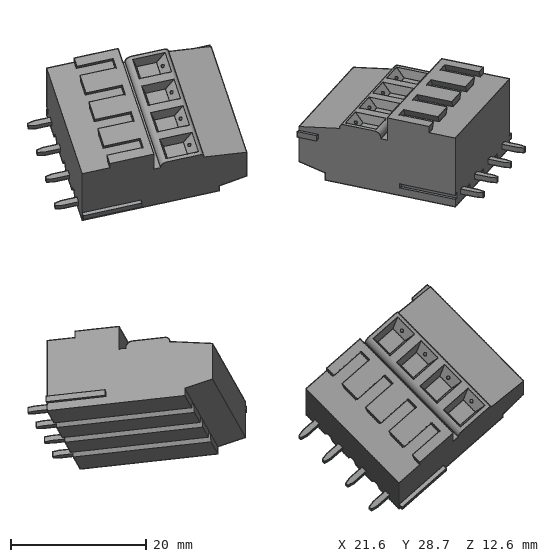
import cadquery as cq


poles = 4
pitch = 5.08
pole_centers = [(i - (poles - 1) / 2) * pitch for i in range(poles)]
seam_centers = [x + pitch / 2 for x in pole_centers[:-1]]

overall_width = 21.55
overall_length = 28.7
key_depth = 0.7
body_width = overall_width - 2 * key_depth
pin_length = 3.5
body_length = overall_length - pin_length
body_height = 12.6
half_width = body_width / 2

front_deck_height = 11.57
tower_front_y = 4.22
tower_back_y = 10.95
gap_floor_z = 8.87
ridge_top_z = 9.95
ridge_front_y = 12.0
ridge_back_y = 18.65
ridge_front_radius = 1.0
ridge_back_radius = 0.7
ramp_top_z = 9.18
ramp_bottom_z = 8.1
tail_bottom_z = 2.2
base_length = 20.98
base_step_height = 1.2

tower_slot_mouth = 1.72
tower_slot_floor = 2.53
tower_slot_back_y = 9.75

well_mouth_width = 3.67
well_floor_z = 8.72
well_floor_width = 2.58
well_front_y = ridge_front_y + ridge_front_radius
well_back_y = ridge_back_y - ridge_back_radius
well_floor_front_y = 13.45
well_floor_back_y = 16.5
dome_radius = 0.25
dome_drop = 0.1
dome_pitch = 5.02
dome_centers = [pole_centers[0] + i * dome_pitch for i in range(poles)]

notch_mouth = 1.6
notch_roof = 0.63

key_wide = 0.92
key_narrow = 0.65
lower_key_z = 1.6
lower_key_length = 8.98
upper_key_z = 7.12
upper_key_length = 3.13

pin_width = 0.92
pin_thickness = 0.83
pin_tip_width = 0.45
pin_taper_length = 1.03
pin_center_z = 1.6


def prism_along_y(points, y_start, y_end):
    """Extrude an (x, z) outline from y_start to y_end."""
    plane = cq.Workplane("XZ", origin=(0, y_start, 0))
    return plane.polyline(points).close().extrude(y_start - y_end)


def trapezoid(center_x, bottom_z, bottom_width, top_z, top_width):
    """Symmetric (x, z) trapezoid with level bottom and top edges."""
    return [
        (center_x - bottom_width / 2, bottom_z),
        (center_x + bottom_width / 2, bottom_z),
        (center_x + top_width / 2, top_z),
        (center_x - top_width / 2, top_z),
    ]


def dovetail(narrow_x, wide_x, center_z, y_start, y_end):
    """Dovetail bar along Y, flaring from narrow_x to wide_x."""
    outline = [
        (narrow_x, center_z - key_narrow / 2),
        (wide_x, center_z - key_wide / 2),
        (wide_x, center_z + key_wide / 2),
        (narrow_x, center_z + key_narrow / 2),
    ]
    return prism_along_y(outline, y_start, y_end)


def housing():
    """Side profile extruded across the full body width."""
    return (
        cq.Workplane("YZ", origin=(-half_width, 0, 0))
        .moveTo(0, 0)
        .lineTo(0, front_deck_height)
        .lineTo(tower_front_y, front_deck_height)
        .lineTo(tower_front_y, body_height)
        .lineTo(tower_back_y, body_height)
        .lineTo(tower_back_y, gap_floor_z)
        .lineTo(ridge_front_y, gap_floor_z)
        .lineTo(ridge_front_y, ridge_top_z - ridge_front_radius)
        .radiusArc((well_front_y, ridge_top_z), ridge_front_radius)
        .lineTo(well_back_y, ridge_top_z)
        .radiusArc((ridge_back_y, ridge_top_z - ridge_back_radius), ridge_back_radius)
        .lineTo(ridge_back_y, ramp_top_z)
        .lineTo(body_length, ramp_bottom_z)
        .lineTo(body_length, tail_bottom_z)
        .lineTo(base_length, base_step_height)
        .lineTo(base_length, 0)
        .close()
        .extrude(body_width)
    )


def tower_slot(center_x):
    outline = trapezoid(center_x, front_deck_height, tower_slot_floor, body_height, tower_slot_mouth)
    return prism_along_y(outline, tower_front_y, tower_slot_back_y)


def well(center_x):
    """Funnel lofted from the ridge top down to a smaller floor."""
    mouth_y = (well_front_y + well_back_y) / 2
    floor_y = (well_floor_front_y + well_floor_back_y) / 2
    return (
        cq.Workplane("XY", origin=(center_x, mouth_y, ridge_top_z))
        .rect(well_mouth_width, well_back_y - well_front_y)
        .workplane(offset=well_floor_z - ridge_top_z)
        .center(0, floor_y - mouth_y)
        .rect(well_floor_width, well_floor_back_y - well_floor_front_y)
        .loft(ruled=True)
    )


def well_dome(center_x):
    """Small ball half sunk into the well's sloped back wall, just below the middle."""
    wall_run = well_back_y - well_floor_back_y
    wall_rise = ridge_top_z - well_floor_z
    center_y = (well_back_y + well_floor_back_y) / 2 - dome_drop * wall_run / wall_rise
    center_z = (ridge_top_z + well_floor_z) / 2 - dome_drop
    return cq.Workplane("XY", origin=(center_x, center_y, center_z)).sphere(dome_radius)


def underside_notch(center_x):
    outline = trapezoid(center_x, 0, notch_mouth, base_step_height, notch_roof)
    return prism_along_y(outline, 0, base_length)


def pin(center_x):
    """Flat pin projecting from the front face, tapered in width at the tip."""
    taper_start_y = pin_taper_length - pin_length
    outline = [
        (-pin_width / 2, 0),
        (-pin_width / 2, taper_start_y),
        (-pin_tip_width / 2, -pin_length),
        (pin_tip_width / 2, -pin_length),
        (pin_width / 2, taper_start_y),
        (pin_width / 2, 0),
    ]
    base = cq.Workplane("XY", origin=(center_x, 0, pin_center_z - pin_thickness / 2))
    return base.polyline(outline).close().extrude(pin_thickness)


result = housing()

for x in pole_centers:
    result = result.cut(tower_slot(x)).cut(well(x)).union(pin(x))

for x in dome_centers:
    result = result.union(well_dome(x))

for x in seam_centers:
    result = result.cut(underside_notch(x))

result = result.cut(dovetail(-half_width, -half_width + key_depth, lower_key_z, 0, lower_key_length))
result = result.union(dovetail(half_width, half_width + key_depth, lower_key_z, 0, lower_key_length))

upper_key_start_y = body_length - upper_key_length
result = result.union(
    dovetail(-half_width, -half_width - key_depth, upper_key_z, upper_key_start_y, body_length)
)